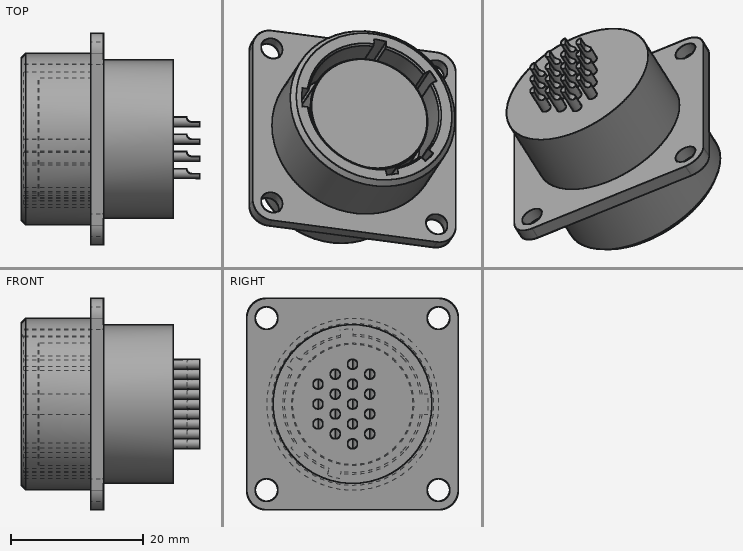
import cadquery as cq
import math


flange_size = 32.0
flange_thickness = 2.0
flange_front = 10.5
flange_back = flange_front + flange_thickness
corner_radius = 3.0
hole_offset = 13.0
hole_diameter = 3.35

shell_radius = 13.0
shell_chamfer = 0.75
rear_radius = 12.0
rear_length = 10.53
rear_end = flange_back + rear_length

socket_radius = 10.3
socket_chamfer = 0.3
socket_depth = flange_front
insert_radius = 9.25
insert_face = 2.53
insert_chamfer = 0.15

keyway_radius = 11.4
main_key_width = 3.1
minor_key_width = 1.9
keyways = [(0, main_key_width)] + [(angle, minor_key_width) for angle in (95, 145, 220, 255)]

pin_radius = 0.752
pin_length = 4.0
pin_end = rear_end + pin_length
pin_rise = 2 * pin_radius
pin_column_pitch = math.sqrt(3) * pin_rise
pin_columns = {-2: 3, -1: 4, 0: 5, 1: 4}
cup_length = 2.0
cup_corner_radius = pin_radius


def disc(radius, start, end):
    """Cylinder along X between two X positions."""
    return cq.Workplane("YZ").workplane(offset=start).circle(radius).extrude(end - start)


def make_flange():
    plate = (
        cq.Workplane("YZ")
        .workplane(offset=flange_front)
        .rect(flange_size, flange_size)
        .extrude(flange_thickness)
        .edges("|X")
        .fillet(corner_radius)
    )
    holes = (
        cq.Workplane("YZ")
        .workplane(offset=flange_front)
        .rect(2 * hole_offset, 2 * hole_offset, forConstruction=True)
        .vertices()
        .circle(hole_diameter / 2)
        .extrude(flange_thickness)
    )
    return plate.cut(holes)


def make_keyway(angle, width):
    """Axial slot from the axis out to a rounded floor, as deep as the socket."""
    slot = (
        cq.Workplane("YZ")
        .center(keyway_radius / 2, 0)
        .rect(keyway_radius, width)
        .extrude(socket_depth)
        .rotate((0, 0, 0), (1, 0, 0), angle)
    )
    return slot.intersect(disc(keyway_radius, 0, socket_depth))


def make_socket():
    """Space removed from the shell around the insert."""
    entry = (
        cq.Workplane("YZ")
        .circle(socket_radius + socket_chamfer)
        .workplane(offset=socket_chamfer)
        .circle(socket_radius)
        .loft()
    )
    socket = disc(socket_radius, 0, socket_depth).union(entry)
    for angle, width in keyways:
        socket = socket.union(make_keyway(angle, width))
    insert = disc(insert_radius, insert_face, socket_depth).faces("<X").chamfer(insert_chamfer)
    return socket.cut(insert)


def make_pin(y, z):
    """Round contact whose +Y half is cut away at the tip to form a solder cup."""
    pin = disc(pin_radius, rear_end, pin_end)
    cup = (
        cq.Workplane("XY")
        .box(cup_length, 2 * pin_radius, 2 * pin_radius, centered=(False, False, True))
        .edges("|Z and <X and <Y")
        .fillet(cup_corner_radius)
        .translate((pin_end - cup_length, 0, 0))
    )
    return pin.cut(cup).translate((0, y, z))


shell = disc(shell_radius, 0, flange_front).faces("<X").chamfer(shell_chamfer)
result = shell.union(make_flange()).union(disc(rear_radius, flange_back, rear_end))
result = result.cut(make_socket())

for column, count in pin_columns.items():
    for row in range(count):
        pin_z = pin_rise * (2 * row - (count - 1))
        result = result.union(make_pin(column * pin_column_pitch, pin_z))